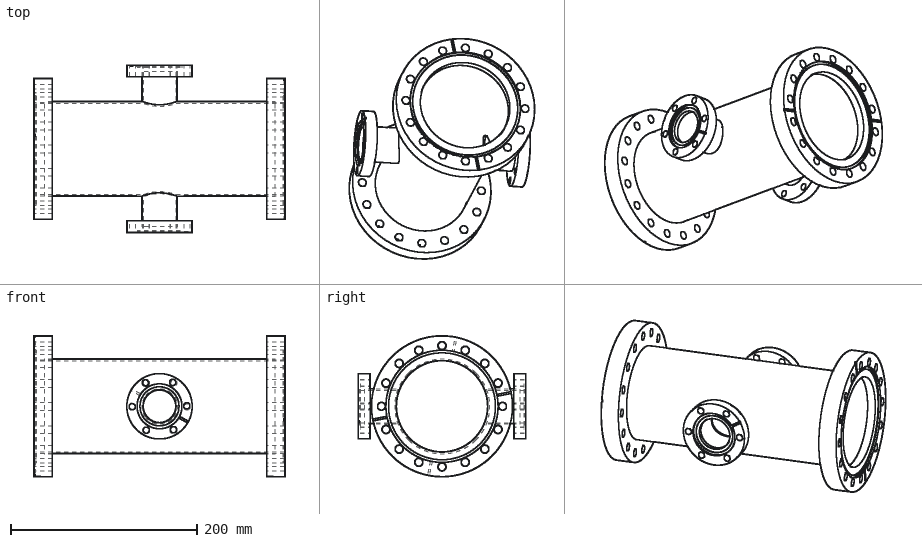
import cadquery as cq
import math

ORIGIN = (0, 0, 0)
Y_AXIS = (0, 1, 0)
Z_AXIS = (0, 0, 1)

overall_length = 269.8
port_span = 180.0

main_tube_diameter = 102.0
main_bore = 98.0
port_tube_diameter = 38.0
port_bore = 35.0

end_flange_diameter = 151.6
end_flange_thickness = 19.8
end_bolt_circle = 130.2
end_bolt_count = 16
end_bolt_hole = 8.4
end_bolt_start = 0.0
end_gasket_diameter = 120.6
end_knife_diameter = 115.0
end_tube_seat_depth = 9.0
end_leak_angles = [101.25, 281.25]
far_end_spin = 90.0

port_flange_diameter = 70.3
port_flange_thickness = 12.7
port_bolt_circle = 58.7
port_bolt_count = 6
port_bolt_hole = 6.8
port_bolt_start = 1.0
port_gasket_diameter = 48.3
port_knife_diameter = 42.0
port_tube_seat_depth = 6.0
port_leak_angles = [-29.0]
far_port_spin = 60.0

gasket_recess_depth = 2.0
knife_tip_depth = 1.2
knife_slope = math.radians(20)
leak_groove_width = 2.0
leak_groove_depth = 1.2

end_flange_back = end_flange_thickness - overall_length / 2
port_flange_back = port_flange_thickness - port_span / 2


def make_flange(diameter, thickness, bore, tube_diameter, seat_depth, gasket_diameter, knife_diameter,
                bolt_circle, bolt_count, bolt_hole, bolt_start, leak_angles):
    """Knife-edge flange around Z: back face at Z = 0, sealing face at Z = thickness."""
    knife_radius = knife_diameter / 2
    gasket_radius = gasket_diameter / 2
    tip_height = thickness - knife_tip_depth
    slope_foot = tip_height - (gasket_radius - knife_radius) * math.tan(knife_slope)
    recess_floor = thickness - gasket_recess_depth
    profile = [
        (tube_diameter / 2, 0),
        (diameter / 2, 0),
        (diameter / 2, thickness),
        (gasket_radius, thickness),
        (gasket_radius, slope_foot),
        (knife_radius, tip_height),
        (knife_radius, recess_floor),
        (bore / 2, recess_floor),
        (bore / 2, seat_depth),
        (tube_diameter / 2, seat_depth),
    ]
    flange = cq.Workplane("XZ").polyline(profile).close().revolve(360, ORIGIN, Y_AXIS)

    bolt_holes = (
        cq.Workplane("XY")
        .polarArray(bolt_circle / 2, bolt_start, 360, bolt_count)
        .circle(bolt_hole / 2)
        .extrude(thickness)
    )
    flange = flange.cut(bolt_holes)

    groove_length = diameter / 2 - gasket_radius + leak_groove_width
    groove_middle = (diameter / 2 + gasket_radius) / 2
    for angle in leak_angles:
        groove = (
            cq.Workplane("XY", origin=(0, 0, thickness - leak_groove_depth))
            .center(groove_middle, 0)
            .rect(groove_length, leak_groove_width)
            .extrude(leak_groove_depth)
            .rotate(ORIGIN, Z_AXIS, angle)
        )
        flange = flange.cut(groove)
    return flange


def make_end_flange(spin):
    """Large flange on the -X end, sealing face outward, spun about its own axis."""
    flange = make_flange(
        end_flange_diameter, end_flange_thickness, main_bore, main_tube_diameter, end_tube_seat_depth,
        end_gasket_diameter, end_knife_diameter, end_bolt_circle, end_bolt_count, end_bolt_hole,
        end_bolt_start, end_leak_angles,
    ).rotate(ORIGIN, Z_AXIS, spin)
    seat = cq.Plane(origin=(end_flange_back, 0, 0), xDir=(0, -1, 0), normal=(-1, 0, 0))
    return cq.Workplane(flange.val().located(cq.Location(seat)))


def make_port_flange(spin):
    """Small flange on the -Y port, sealing face outward, spun about its own axis."""
    flange = make_flange(
        port_flange_diameter, port_flange_thickness, port_bore, port_tube_diameter, port_tube_seat_depth,
        port_gasket_diameter, port_knife_diameter, port_bolt_circle, port_bolt_count, port_bolt_hole,
        port_bolt_start, port_leak_angles,
    ).rotate(ORIGIN, Z_AXIS, spin)
    seat = cq.Plane(origin=(0, port_flange_back, 0), xDir=(1, 0, 0), normal=(0, -1, 0))
    return cq.Workplane(flange.val().located(cq.Location(seat)))


def make_main_tube():
    """Main tube with a cross bore for the two ports."""
    half_length = end_tube_seat_depth - end_flange_back
    tube = (
        cq.Workplane("YZ")
        .circle(main_tube_diameter / 2)
        .circle(main_bore / 2)
        .extrude(half_length, both=True)
    )
    cross_bore = cq.Workplane("XZ").circle(port_bore / 2).extrude(main_tube_diameter, both=True)
    return tube.cut(cross_bore)


def make_port_tube():
    """Tube of the -Y port, its inner end saddled onto the main tube."""
    length = port_tube_seat_depth - port_flange_back
    tube = cq.Workplane("XZ").circle(port_tube_diameter / 2).circle(port_bore / 2).extrude(length)
    main_envelope = (
        cq.Workplane("YZ").circle(main_tube_diameter / 2).extrude(port_tube_diameter, both=True)
    )
    return tube.cut(main_envelope)


main_tube = make_main_tube()

bodies = [main_tube.val()]
for turn, end_spin, port_spin in [(0, 0, 0), (180, far_end_spin, far_port_spin)]:
    end_flange = make_end_flange(end_spin)
    port_tube = make_port_tube()
    port_flange = make_port_flange(port_spin)
    for body in [end_flange, port_tube, port_flange]:
        bodies.append(body.rotate(ORIGIN, Z_AXIS, turn).val())

result = cq.Compound.makeCompound(bodies)